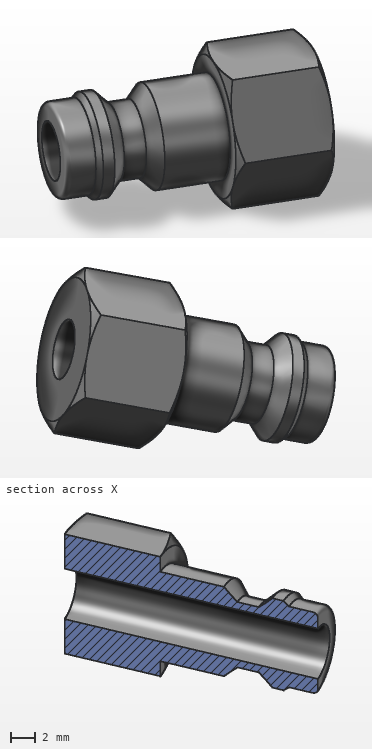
import cadquery as cq
import math

total_length = 22.5
hex_length = 8.5
hex_across_flats = 12.0
hex_chamfer_angle = 30.0
body_diameter = 9.0
neck_diameter = 6.6
tip_diameter = 8.15
bore_diameter = 5.0
tip_rounding = 0.5

tip_end = 2.56
collar_start = 3.05
collar_end = 4.05
neck_end = 7.15
neck_cone_length = (body_diameter - neck_diameter) / 2
neck_start = collar_end + neck_cone_length
body_start = neck_end + neck_cone_length
hex_start = total_length - hex_length

hex_across_corners = hex_across_flats / math.cos(math.radians(30))


def revolve_about_y(profile):
    return profile.close().revolve(360, (0, 0, 0), (0, 1, 0))


def make_hex():
    """Hexagon with corners on X, both ends turned to a shallow cone."""
    prism = (
        cq.Workplane("XZ", origin=(0, hex_start, 0))
        .polygon(6, hex_across_corners)
        .extrude(-hex_length)
    )
    face_radius = hex_across_flats / 2
    corner_radius = hex_across_corners / 2
    setback = (corner_radius - face_radius) * math.tan(math.radians(hex_chamfer_angle))
    envelope = revolve_about_y(
        cq.Workplane("XY")
        .moveTo(0, hex_start)
        .lineTo(face_radius, hex_start)
        .lineTo(corner_radius, hex_start + setback)
        .lineTo(corner_radius, total_length - setback)
        .lineTo(face_radius, total_length)
        .lineTo(0, total_length)
    )
    return prism.intersect(envelope)


def make_plug():
    """Turned plug: rounded tip, collar, locking neck and body."""
    body_radius = body_diameter / 2
    neck_radius = neck_diameter / 2
    tip_radius = tip_diameter / 2
    return revolve_about_y(
        cq.Workplane("XY")
        .lineTo(tip_radius - tip_rounding, 0)
        .radiusArc((tip_radius, tip_rounding), -tip_rounding)
        .lineTo(tip_radius, tip_end)
        .lineTo(body_radius, collar_start)
        .lineTo(body_radius, collar_end)
        .lineTo(neck_radius, neck_start)
        .lineTo(neck_radius, neck_end)
        .lineTo(body_radius, body_start)
        .lineTo(body_radius, total_length)
        .lineTo(0, total_length)
    )


bore = cq.Workplane("XZ").circle(bore_diameter / 2).extrude(-total_length)

result = make_hex().union(make_plug()).cut(bore)